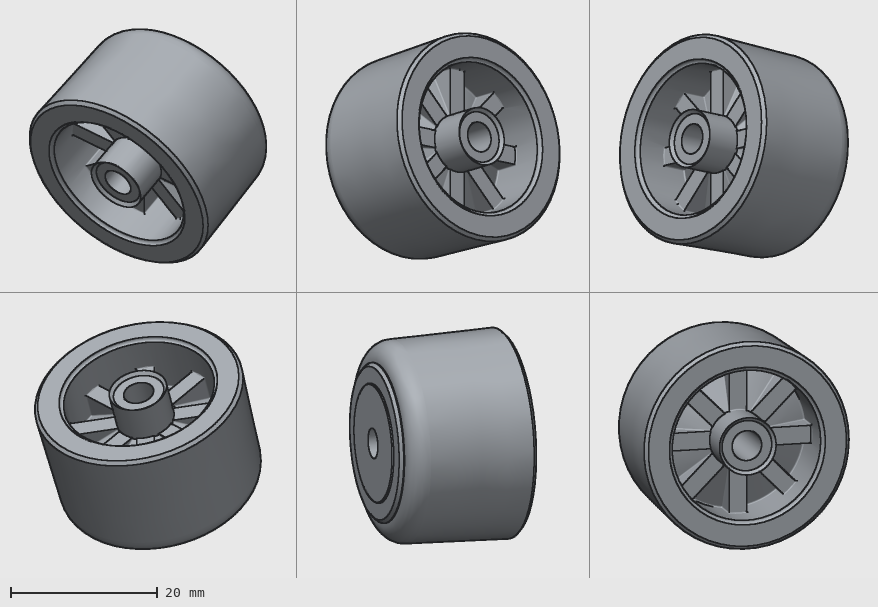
import cadquery as cq
import math

LENGTH = 19.0
END_STEP = 0.2

TYRE_R = 14.48
TYRE_BACK_R = 13.93
TYRE_CHAMFER = 0.5
SHOULDER_R = 2.9
RIM_STANDOUT = 0.6
TYRE_FRONT = END_STEP
RIM_BACK = LENGTH - END_STEP
TYRE_BACK = RIM_BACK - RIM_STANDOUT

RIM_R = 11.0
RIM_ROUND = 0.52
RIM_BEVEL = 0.5
WALL_R = RIM_R - RIM_ROUND
BOSS_R = 4.0
BOSS_COUNTERSINK = 0.5
BORE_R = 2.1
PAD_R = 8.23
PAD_BEVEL = 0.15

RIB_COUNT = 8
RIB_WIDTH = 2.45
RIB_FRONT = 5.21
WEB_AT_BOSS = RIB_FRONT + 0.2
WEB_AT_WALL = 8.98
RIB_EMBED = 0.3
FILLET_R = 0.17


def revolve(profile):
    """Turn a (radius, Y) outline once around the Y axis."""
    return profile.close().revolve(360, (0, 0, 0), (0, 1, 0))


def make_tyre():
    """Tapered tread with a front chamfer and a round rear shoulder, open for the rim."""
    outline = (
        cq.Workplane("XY")
        .moveTo(RIM_R, TYRE_FRONT)
        .lineTo(TYRE_R - TYRE_CHAMFER, TYRE_FRONT)
        .lineTo(TYRE_R, TYRE_FRONT + TYRE_CHAMFER)
        .lineTo(TYRE_BACK_R, TYRE_BACK)
        .lineTo(RIM_R, TYRE_BACK)
    )
    outer_edge = cq.selectors.RadiusNthSelector(-1)
    return revolve(outline).faces(">Y").edges(outer_edge).fillet(SHOULDER_R)


def make_hub_core():
    """Boss, conical web and rim, with the bore through them and a pad behind."""
    outline = (
        cq.Workplane("XY")
        .moveTo(BOSS_R, 0)
        .lineTo(BOSS_R, WEB_AT_BOSS)
        .lineTo(WALL_R, WEB_AT_WALL)
        .lineTo(WALL_R, TYRE_FRONT + RIM_ROUND)
        .radiusArc((RIM_R, TYRE_FRONT), RIM_ROUND)
        .lineTo(RIM_R, RIM_BACK - RIM_BEVEL)
        .lineTo(RIM_R - RIM_BEVEL, RIM_BACK)
        .lineTo(PAD_R, RIM_BACK)
        .lineTo(PAD_R - PAD_BEVEL, LENGTH)
        .lineTo(BORE_R, LENGTH)
        .lineTo(BORE_R, BOSS_COUNTERSINK)
        .lineTo(BOSS_R - BOSS_COUNTERSINK, BOSS_COUNTERSINK)
    )
    return revolve(outline)


def make_rib(angle):
    """One straight rib from the boss to the rim wall, turned about the wheel axis."""
    inner = BOSS_R - RIB_EMBED
    length = WALL_R + RIB_EMBED - inner
    depth = WEB_AT_WALL + RIB_EMBED - RIB_FRONT
    return (
        cq.Workplane("XY")
        .box(length, depth, RIB_WIDTH, centered=(False, False, True))
        .translate((inner, RIB_FRONT, 0))
        .rotate((0, 0, 0), (0, 1, 0), angle)
    )


def is_recess_corner(edge):
    """True for the inside corners between web, ribs and rim wall, and above the boss."""
    tolerance = 0.003
    centre = edge.Center()
    radius = math.hypot(centre.x, centre.z)
    if not RIB_FRONT - tolerance < centre.y < WEB_AT_WALL + tolerance:
        return False
    if abs(centre.y - RIB_FRONT) > tolerance:
        return radius > BOSS_R + tolerance
    at_wall = radius > WALL_R - FILLET_R
    above_boss = radius < BOSS_R and centre.z > BOSS_R - FILLET_R
    return at_wall or above_boss


def make_hub():
    hub = make_hub_core()
    for i in range(RIB_COUNT):
        hub = hub.union(make_rib(i * 360 / RIB_COUNT))
    corners = [edge for edge in hub.edges().vals() if is_recess_corner(edge)]
    return hub.newObject(corners).fillet(FILLET_R)


tyre = make_tyre()
hub = make_hub()

result = cq.Compound.makeCompound([tyre.solids().val(), hub.solids().val()])